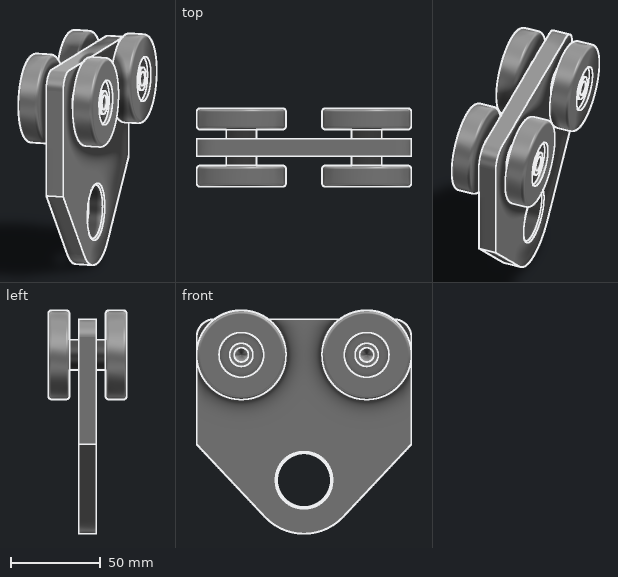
import cadquery as cq
import math

plate_width = 120.0
plate_top = 120.0
plate_thickness = 10.0
shoulder_height = 50.0
corner_radius = 10.0
eye_radius = 30.0
eye_hole_diameter = 30.0
eye_hole_chamfer = 1.0

wheel_diameter = 50.0
wheel_width = 12.0
wheel_fillet = 2.0
wheel_recess_diameter = 25.0
wheel_recess_depth = 2.0
wheel_spacing = plate_width - wheel_diameter
wheel_height = 100.0

collar_diameter = 17.0
collar_length = 5.0
journal_diameter = 13.0
journal_inset = 1.0
centre_hole_diameter = 8.0
centre_hole_depth = 4.0

half_width = plate_width / 2
half_thickness = plate_thickness / 2
wheel_inner_y = half_thickness + collar_length
wheel_outer_y = wheel_inner_y + wheel_width
journal_end_y = wheel_outer_y - journal_inset
wheel_xs = (-wheel_spacing / 2, wheel_spacing / 2)
sides = (-1, 1)


def cylinder(x, z, diameter, y_start, y_end):
    """Cylinder along Y between two Y positions."""
    return cq.Workplane(
        cq.Solid.makeCylinder(
            diameter / 2, abs(y_end - y_start), cq.Vector(x, y_start, z),
            cq.Vector(0, math.copysign(1, y_end - y_start), 0),
        )
    )


def chamfer_eye(blank):
    """Chamfer both rims of the eye hole."""
    for side in sides:
        face_y = side * half_thickness
        rim = cq.Solid.makeCone(
            eye_hole_diameter / 2 + eye_hole_chamfer, eye_hole_diameter / 2, eye_hole_chamfer,
            cq.Vector(0, face_y, eye_radius), cq.Vector(0, -side, 0),
        )
        blank = blank.cut(cq.Workplane(rim))
    return blank


def make_plate():
    """Tapered plate with rounded top corners and a chamfered eye hole."""
    rise = shoulder_height - eye_radius
    shoulder_distance = math.hypot(half_width, rise)
    tangent_angle = math.atan2(rise, half_width) - math.acos(eye_radius / shoulder_distance)
    tangent_x = eye_radius * math.cos(tangent_angle)
    tangent_z = eye_radius * (1 + math.sin(tangent_angle))

    blank = (
        cq.Workplane("XZ")
        .moveTo(-half_width, plate_top)
        .lineTo(half_width, plate_top)
        .lineTo(half_width, shoulder_height)
        .lineTo(tangent_x, tangent_z)
        .threePointArc((0, 0), (-tangent_x, tangent_z))
        .lineTo(-half_width, shoulder_height)
        .close()
        .extrude(half_thickness, both=True)
    )
    blank = blank.edges("|Y and >Z").fillet(corner_radius)
    eye_hole = cylinder(0, eye_radius, eye_hole_diameter, -half_thickness, half_thickness)
    blank = blank.cut(eye_hole)
    return chamfer_eye(blank)


def make_axle_end(x, side):
    """Collar and journal on one side of the plate, with a conical centre hole."""
    collar = cylinder(x, wheel_height, collar_diameter, side * half_thickness, side * wheel_inner_y)
    journal = cylinder(x, wheel_height, journal_diameter, side * half_thickness, side * journal_end_y)
    centre_hole = cq.Solid.makeCone(
        centre_hole_diameter / 2, 0, centre_hole_depth,
        cq.Vector(x, side * journal_end_y, wheel_height), cq.Vector(0, -side, 0),
    )
    return collar.union(journal).cut(cq.Workplane(centre_hole))


def make_carrier():
    """Plate and its axles as one solid."""
    carrier = make_plate()
    for x in wheel_xs:
        for side in sides:
            carrier = carrier.union(make_axle_end(x, side))
    return carrier


def make_wheel(x, side):
    """Wheel with rounded rims, an outer recess and a bore for the journal."""
    inner_y = side * wheel_inner_y
    outer_y = side * wheel_outer_y
    recess_y = side * (wheel_outer_y - wheel_recess_depth)
    wheel = cylinder(x, wheel_height, wheel_diameter, inner_y, outer_y)
    wheel = wheel.edges("%CIRCLE").fillet(wheel_fillet)
    wheel = wheel.cut(cylinder(x, wheel_height, wheel_recess_diameter, recess_y, outer_y))
    return wheel.cut(cylinder(x, wheel_height, journal_diameter, inner_y, outer_y))


carrier = make_carrier()
wheels = [make_wheel(x, side) for x in wheel_xs for side in sides]

result = cq.Compound.makeCompound([carrier.val(), *(wheel.val() for wheel in wheels)])